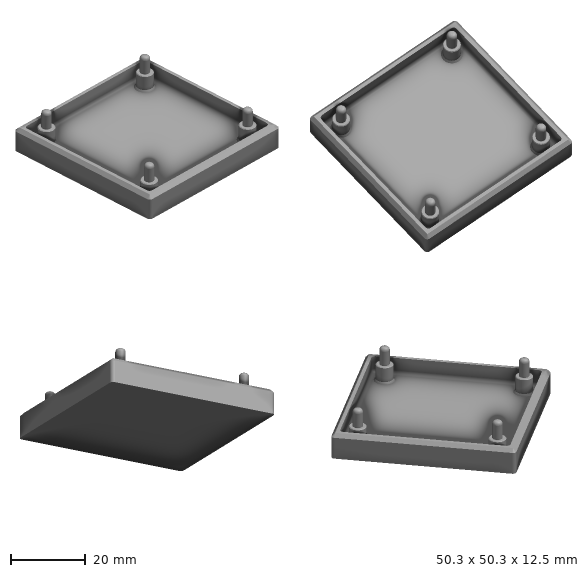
import cadquery as cq

side = 50.32
tray_height = 7.2
wall_thickness = 2.0
floor_thickness = 2.5
edge_size = 1.0
corner_allowance = 0.001

pin_spacing = 38.0
pin_diameter = 2.8
pin_top = 12.5
pin_tip_radius = 1.0
boss_diameter = 4.8
boss_top = 7.3
boss_rim_chamfer = 0.2
boss_foot_chamfer = 0.5


def make_tray():
    """Square open tray with a chamfered rim and a rounded cavity."""
    block = cq.Workplane("XY").box(side, side, tray_height, centered=(True, True, False))
    block = block.edges("|Z").fillet(edge_size + corner_allowance)
    block = block.faces(">Z").chamfer(edge_size)

    cavity_side = side - 2 * wall_thickness
    cavity = (
        cq.Workplane("XY")
        .workplane(offset=floor_thickness)
        .box(cavity_side, cavity_side, tray_height, centered=(True, True, False))
        .edges("|Z or <Z")
        .fillet(edge_size)
    )
    return block.cut(cavity)


def make_stepped_pin():
    """Stepped pin on the Z axis: sloped foot, boss with a chamfered rim, round-tipped pin."""
    boss_radius = boss_diameter / 2
    boss = (
        cq.Workplane("XY")
        .workplane(offset=floor_thickness)
        .circle(boss_radius)
        .extrude(boss_top - floor_thickness)
        .faces(">Z")
        .chamfer(boss_rim_chamfer)
    )
    foot = cq.Workplane(
        cq.Solid.makeCone(
            boss_radius + boss_foot_chamfer,
            boss_radius,
            boss_foot_chamfer,
            pnt=cq.Vector(0, 0, floor_thickness),
        )
    )
    pin = (
        cq.Workplane("XY")
        .workplane(offset=floor_thickness)
        .circle(pin_diameter / 2)
        .extrude(pin_top - floor_thickness)
        .faces(">Z")
        .edges()
        .fillet(pin_tip_radius)
    )
    return boss.union(foot).union(pin)


def add_pins(body):
    """Set one stepped pin in each corner of the tray floor."""
    pin = make_stepped_pin()
    offset = pin_spacing / 2
    for x in (-offset, offset):
        for y in (-offset, offset):
            body = body.union(pin.translate((x, y, 0)))
    return body


result = add_pins(make_tray())